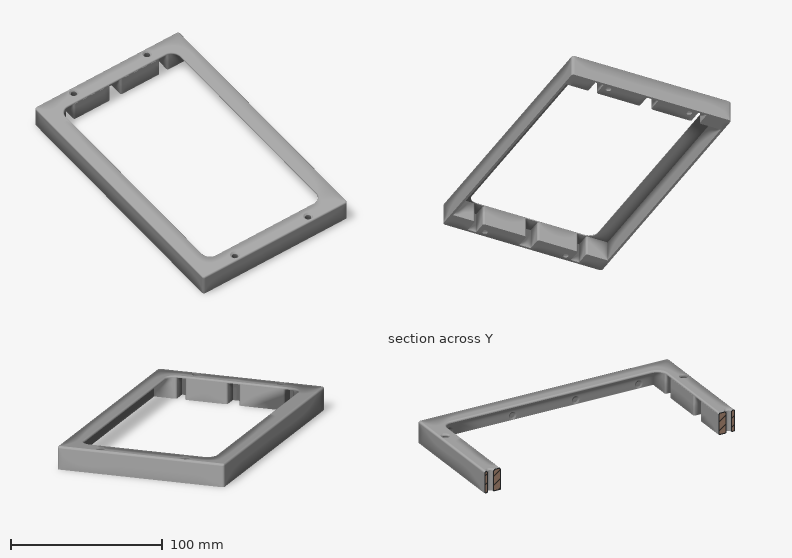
import cadquery as cq

length = 189.8
width = 117.3
height = 16.0

wall = 1.7
plate_thickness = 1.3
corner_radius = 1.7
rim_radius = 1.42

window_length = 165.7
window_width = 93.0
window_radius = 6.8
window_rim_radius = 1.1

block_inner_x = 82.8
slot_spans = [(-41.2, -35.1), (-5.5, 2.8), (34.7, 40.8)]
block_edge_radius = 1.3

screw_diameter = 4.0
sink_diameter = 6.3
sink_angle = 90
screw_spacing_x = 180.7
screw_spacing_y = 59.6

pocket_count = 4
pocket_pitch = 47.8
pocket_z = 3.0
pocket_mouth_diameter = 5.7
pocket_floor_diameter = 3.5
pocket_depth = 0.5

cavity_length = length - 2 * wall
cavity_width = width - 2 * wall
cavity_height = height - plate_thickness


def plain_box(size_x, size_y, size_z):
    """Box centred in X and Y, standing on Z = 0."""
    return cq.Workplane("XY").box(size_x, size_y, size_z, centered=(True, True, False))


def make_shell():
    """Outer body with a window in its top face, hollowed from below."""
    body = plain_box(length, width, height).edges("|Z").fillet(corner_radius)
    window = plain_box(window_length, window_width, height).edges("|Z").fillet(window_radius)
    body = body.faces(">Z").edges().fillet(rim_radius)
    body = body.cut(window)
    window_edges = body.faces(">Z").wires(cq.selectors.AreaNthSelector(0)).edges()
    body = window_edges.fillet(window_rim_radius)
    return body.cut(plain_box(cavity_length, cavity_width, cavity_height))


def make_block(side, start_y, end_y):
    """Full-height block at one end (side = -1 or 1), let into the end wall."""
    outer_x = (length - wall) / 2
    block_length = outer_x - block_inner_x
    block = plain_box(block_length, end_y - start_y, cavity_height)
    window_face = "<X" if side > 0 else ">X"
    block = block.faces(window_face).edges("|Z").fillet(block_edge_radius)
    return block.translate((side * (outer_x + block_inner_x) / 2, (start_y + end_y) / 2, 0))


def add_end_blocks(body):
    edges = [-(width - wall) / 2]
    for span in slot_spans:
        edges.extend(span)
    edges.append((width - wall) / 2)
    for side in (-1, 1):
        for start_y, end_y in zip(edges[::2], edges[1::2]):
            body = body.union(make_block(side, start_y, end_y))
    return body


def cut_screw_holes(body):
    return (
        body.faces(">Z")
        .workplane(origin=(0, 0, height))
        .rect(screw_spacing_x, screw_spacing_y, forConstruction=True)
        .vertices()
        .cskHole(screw_diameter, sink_diameter, sink_angle)
    )


def cut_wall_pockets(body):
    first_x = -pocket_pitch * (pocket_count - 1) / 2
    into_wall = cq.Vector(0, 1, 0)
    for index in range(pocket_count):
        mouth_center = cq.Vector(first_x + index * pocket_pitch, cavity_width / 2, pocket_z)
        pocket = cq.Solid.makeCone(
            pocket_mouth_diameter / 2,
            pocket_floor_diameter / 2,
            pocket_depth,
            mouth_center,
            into_wall,
        )
        body = body.cut(cq.Workplane(pocket))
    return body


frame = make_shell()
frame = add_end_blocks(frame)
frame = cut_screw_holes(frame)
result = cut_wall_pockets(frame)